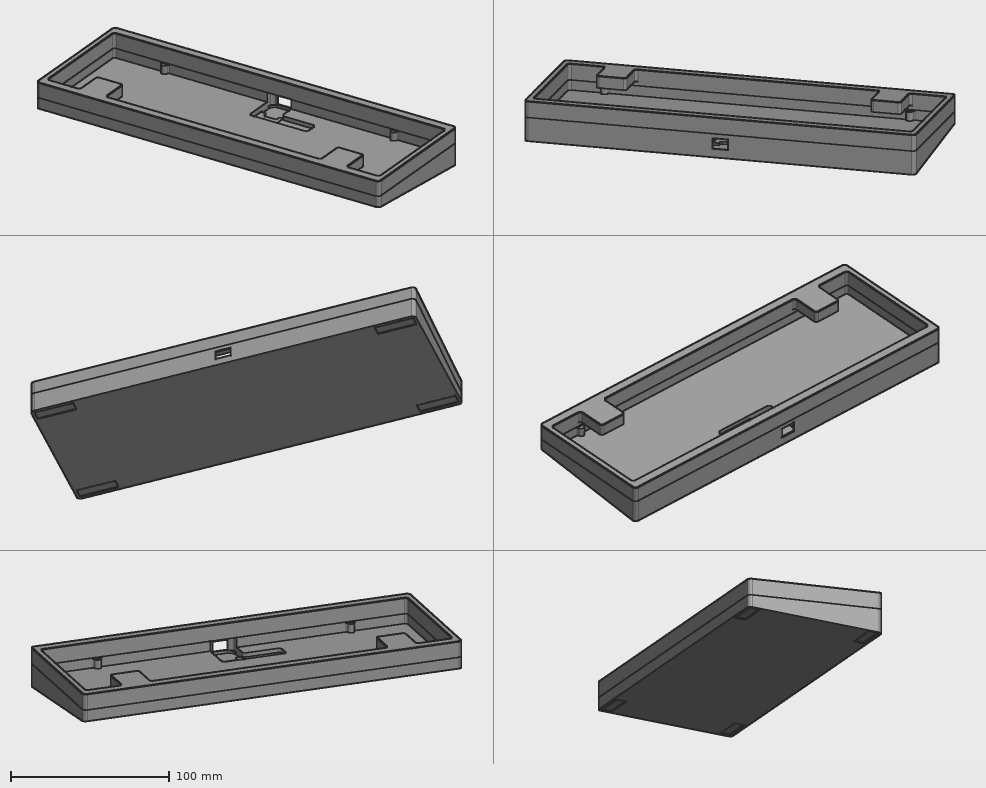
import cadquery as cq
import math

length = 257.5
width = 91.2
frame_height = 10.8
tray_back_height = 15.7
bottom_slope = 5.0
corner_radius = 2.5
rim_chamfer = 0.4

side_wall = 4.5
end_wall = 7.0
inner_radius = 1.8
floor_depth = 6.7

tab_width = 19.8
tab_reach = 20.0
tab_spacing = 180.8
tab_height = 8.0

boss_diameter = 4.6
boss_blend = 0.8
boss_offset = 0.5
boss_height = 6.0
back_boss_spacing = 172.0
front_boss_spacing = 201.0

bay_left = -9.3
bay_right = 8.8
bay_front = 17.5
bay_radius = 2.0
niche_radius = 2.3
bay_wall_recess = 6.0
bay_depth = 3.9
socket_depth = 5.5
socket_shoulder_y = 31.5
socket_tongue_y = 27.5
socket_tongue_width = 9.8
socket_radius = 1.3
socket_back_radius = 4.6
channel_right = 34.3
channel_back = 27.5
channel_depth = 2.8

port_width = 10.3
port_top = 3.0
port_bottom = 10.0

foot_length = 25.8
foot_width = 6.7
foot_depth = 0.8
foot_side_inset = 2.0
foot_end_inset = 2.0

inner_length = length - 2 * side_wall
inner_width = width - 2 * end_wall
wall_y = inner_width / 2
bay_center_x = (bay_left + bay_right) / 2
underside_rise = width * math.tan(math.radians(bottom_slope))
tray_front_height = tray_back_height - underside_rise


def block(x_min, x_max, y_min, y_max, z_min, z_max):
    """Axis-aligned box between the given limits."""
    size = (x_max - x_min, y_max - y_min, z_max - z_min)
    return cq.Workplane("XY").box(*size, centered=False).translate((x_min, y_min, z_min))


def opening_outline():
    """Frame opening, notched at the front by the two tabs and full size below them."""
    opening = block(-inner_length / 2, inner_length / 2, -wall_y, wall_y, 0, frame_height)
    for side in (-1, 1):
        tab_x = side * tab_spacing / 2
        tab = block(tab_x - tab_width / 2, tab_x + tab_width / 2,
                    -wall_y, -wall_y + tab_reach, 0, frame_height)
        opening = opening.cut(tab)
    opening = opening.edges("|Z").fillet(inner_radius)
    undercut = block(-inner_length / 2, inner_length / 2, -wall_y, wall_y, 0, frame_height - tab_height)
    return opening.union(undercut.edges("|Z").fillet(inner_radius))


def make_frame():
    """Upper frame with two tabs reaching in from its front wall."""
    frame = cq.Workplane("XY").rect(length, width).extrude(frame_height)
    frame = frame.edges("|Z").fillet(corner_radius)
    frame = frame.cut(opening_outline())
    frame = frame.faces(">Z").chamfer(rim_chamfer)
    return frame


def wedge():
    """Outer shape of the tray: flat top, sloping underside, rounded upright corners."""
    profile = [
        (-width / 2, 0),
        (width / 2, 0),
        (width / 2, -tray_back_height),
        (-width / 2, -tray_front_height),
    ]
    body = cq.Workplane("YZ").polyline(profile).close().extrude(length / 2, both=True)
    return body.edges("|Z").fillet(corner_radius)


def bosses():
    """Round bosses standing partly in the front and back walls."""
    places = []
    for side in (-1, 1):
        places.append((side * back_boss_spacing / 2, wall_y - boss_offset))
        places.append((side * front_boss_spacing / 2, boss_offset - wall_y))
    return (cq.Workplane("XY", origin=(0, 0, -floor_depth)).pushPoints(places)
            .circle(boss_diameter / 2).extrude(boss_height))


def connector_bay():
    """Stepped recess for the connector board, with the port through the back wall."""
    back = wall_y + bay_wall_recess
    bay = block(bay_left, bay_right, bay_front, wall_y, -floor_depth - bay_depth, -floor_depth)
    bay = bay.edges("|Z and <Y").fillet(bay_radius)

    channel = block(bay_center_x, channel_right, bay_front, channel_back,
                    -floor_depth - channel_depth, -floor_depth)
    channel = channel.edges("|Z and >X").fillet(bay_radius)
    inside_corner = (bay_right, channel_back, -floor_depth - channel_depth / 2)
    bay = bay.union(channel).edges(cq.NearestToPointSelector(inside_corner)).fillet(bay_radius)

    niche = block(bay_left, bay_right, wall_y - niche_radius, back, -floor_depth - bay_depth, 0)
    niche = niche.edges("|Z and >Y").fillet(niche_radius)

    half_tongue = socket_tongue_width / 2
    socket_outline = [
        (bay_left, back),
        (bay_left, socket_shoulder_y),
        (bay_center_x - half_tongue, socket_shoulder_y),
        (bay_center_x - half_tongue, socket_tongue_y),
        (bay_center_x + half_tongue, socket_tongue_y),
        (bay_center_x + half_tongue, socket_shoulder_y),
        (bay_right, socket_shoulder_y),
        (bay_right, back),
    ]
    socket = (cq.Workplane("XY", origin=(0, 0, -floor_depth - socket_depth))
              .polyline(socket_outline).close().extrude(socket_depth - bay_depth))
    socket = socket.edges("|Z and (not >Y)").fillet(socket_radius)
    socket = socket.edges("|Z and >Y").fillet(socket_back_radius)

    port = block(bay_center_x - port_width / 2, bay_center_x + port_width / 2,
                 wall_y, width, -port_bottom, -port_top)
    return bay.union(niche).union(socket).union(port)


def foot_recesses():
    """Four shallow recesses for feet, cut square into the sloping underside."""
    slope_length = width / math.cos(math.radians(bottom_slope))
    foot_x = length / 2 - foot_side_inset - foot_length / 2
    foot_y = slope_length / 2 - foot_end_inset - foot_width / 2
    places = [(sx * foot_x, sy * foot_y) for sx in (-1, 1) for sy in (-1, 1)]
    middle_height = (tray_back_height + tray_front_height) / 2
    return (cq.Workplane("XY").pushPoints(places).rect(foot_length, foot_width)
            .extrude(2 * foot_depth, both=False).translate((0, 0, -foot_depth))
            .rotate((0, 0, 0), (1, 0, 0), -bottom_slope)
            .translate((0, 0, -middle_height)))


def make_tray():
    """Lower tray with bosses, connector bay, port and foot recesses."""
    cavity = block(-inner_length / 2, inner_length / 2, -wall_y, wall_y, -floor_depth, 0)
    cavity = cavity.edges("|Z").fillet(inner_radius).cut(bosses())
    zone_x = front_boss_spacing / 2 + boss_diameter
    boss_zone = cq.selectors.BoxSelector((-zone_x, -width, -floor_depth), (zone_x, width, 0))
    cavity = cavity.edges("|Z").edges(boss_zone).fillet(boss_blend)
    tray = wedge().cut(cavity)
    return tray.cut(connector_bay()).cut(foot_recesses())


frame = make_frame()
tray = make_tray()

result = cq.Compound.makeCompound([frame.val(), tray.val()])